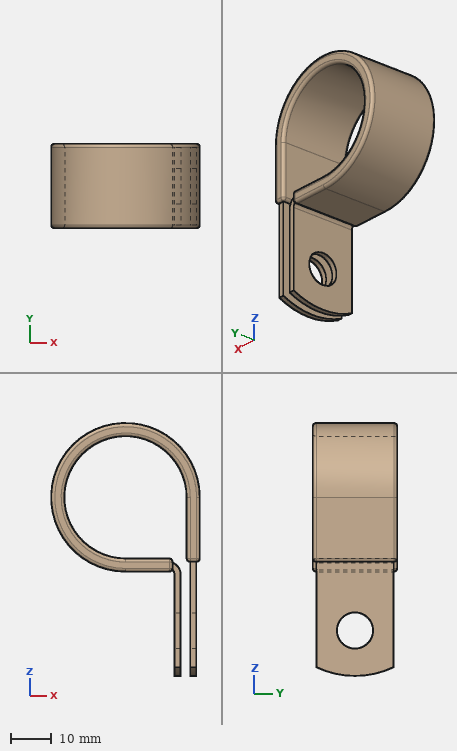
import cadquery as cq
import math

overall_height = 61.8
ring_radius = 18.2
cushion_thickness = 3.3
strip_thickness = 1.55
strip_width = 18.9
cushion_edge_radius = (cushion_thickness - strip_thickness) / 2
cushion_width = strip_width + 2 * cushion_edge_radius

side_leg_end = 15.75
bottom_leg_end = 11.5

bend_inner_radius = 1.5
tab_gap = 2.3
tab_tip_rise = 2.15
hole_diameter = 8.8
hole_z = -32.5

bore_radius = ring_radius - cushion_thickness
strip_outer_radius = ring_radius - cushion_edge_radius
strip_inner_radius = strip_outer_radius - strip_thickness
tab_bottom = ring_radius - overall_height
bent_tab_right = strip_inner_radius - tab_gap
bent_tab_left = bent_tab_right - strip_thickness
bend_outer_radius = bend_inner_radius + strip_thickness
bend_x = bent_tab_right - bend_outer_radius
bend_z = -strip_inner_radius - bend_outer_radius


def extrude_centred(outline, width):
    return outline.close().extrude(width / 2, both=True)


def make_cushion():
    """Rounded rubber band: three-quarter ring with two straight legs."""
    mid_outer = ring_radius * math.sqrt(0.5)
    mid_bore = bore_radius * math.sqrt(0.5)
    outline = (
        cq.Workplane("XZ")
        .moveTo(ring_radius, -side_leg_end)
        .lineTo(ring_radius, 0)
        .threePointArc((-mid_outer, mid_outer), (0, -ring_radius))
        .lineTo(bottom_leg_end, -ring_radius)
        .lineTo(bottom_leg_end, -bore_radius)
        .lineTo(0, -bore_radius)
        .threePointArc((-mid_bore, mid_bore), (bore_radius, 0))
        .lineTo(bore_radius, -side_leg_end)
    )
    cushion = extrude_centred(outline, cushion_width)
    side_edges = cushion.faces("|Y").edges()
    end_zone = cq.selectors.BoxSelector(
        (bottom_leg_end / 2, -cushion_width, -2 * ring_radius),
        (2 * ring_radius, cushion_width, -side_leg_end / 2),
    )
    end_edges = cushion.edges("|Y").edges(end_zone)
    return side_edges.add(end_edges).fillet(cushion_edge_radius)


def make_straight_tab():
    """Strip running straight down from the side leg."""
    outline = (
        cq.Workplane("XZ")
        .moveTo(strip_inner_radius, -side_leg_end / 2)
        .lineTo(strip_outer_radius, -side_leg_end / 2)
        .lineTo(strip_outer_radius, tab_bottom)
        .lineTo(strip_inner_radius, tab_bottom)
    )
    return extrude_centred(outline, strip_width)


def make_bent_tab():
    """Strip leaving the bottom leg and bending down, parallel to the straight tab."""
    start_x = bottom_leg_end / 2
    outline = (
        cq.Workplane("XZ")
        .moveTo(start_x, -strip_inner_radius)
        .lineTo(bend_x, -strip_inner_radius)
        .radiusArc((bent_tab_right, bend_z), bend_outer_radius)
        .lineTo(bent_tab_right, tab_bottom)
        .lineTo(bent_tab_left, tab_bottom)
        .lineTo(bent_tab_left, bend_z)
        .radiusArc((bend_x, -strip_outer_radius), -bend_inner_radius)
        .lineTo(start_x, -strip_outer_radius)
    )
    return extrude_centred(outline, strip_width)


def make_tab_envelope():
    """Block with a curved lower end that trims both tabs."""
    corner_z = tab_bottom + tab_tip_rise
    outline = (
        cq.Workplane("YZ")
        .moveTo(-strip_width / 2, 0)
        .lineTo(-strip_width / 2, corner_z)
        .threePointArc((0, tab_bottom), (strip_width / 2, corner_z))
        .lineTo(strip_width / 2, 0)
    )
    return outline.close().extrude(ring_radius)


def make_bolt_hole():
    return (
        cq.Workplane("YZ")
        .center(0, hole_z)
        .circle(hole_diameter / 2)
        .extrude(ring_radius)
    )


tabs = make_straight_tab().union(make_bent_tab())
tabs = tabs.intersect(make_tab_envelope()).cut(make_bolt_hole())
result = make_cushion().union(tabs)